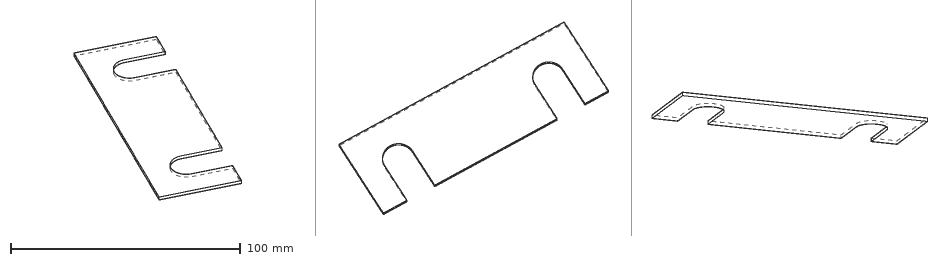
import cadquery as cq

length = 114.3
width = 38.1
thickness = 1.6
slot_width = 14.1
slot_spacing = 76.2

slot_radius = slot_width / 2
slot_center_y = 0.0


def open_slot(center_x):
    """Cutter for one slot: straight sides from the +Y edge to a half-round end."""
    edge_y = width / 2
    return (
        cq.Workplane("XY")
        .moveTo(center_x - slot_radius, edge_y)
        .lineTo(center_x - slot_radius, slot_center_y)
        .threePointArc(
            (center_x, slot_center_y - slot_radius),
            (center_x + slot_radius, slot_center_y),
        )
        .lineTo(center_x + slot_radius, edge_y)
        .close()
        .extrude(thickness)
    )


result = cq.Workplane("XY").box(length, width, thickness, centered=(True, True, False))
for side in (-1, 1):
    result = result.cut(open_slot(side * slot_spacing / 2))